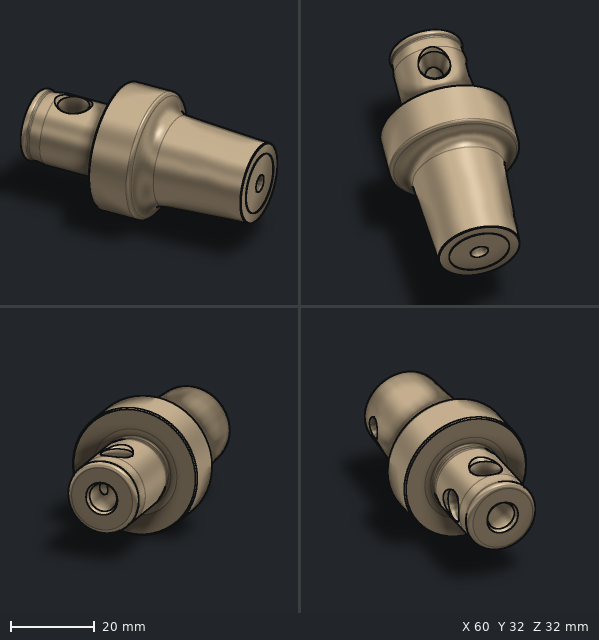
import cadquery as cq
import math

TOTAL_LENGTH = 60.0
INSERT_PROTRUSION = 0.2
HOLDER_LENGTH = TOTAL_LENGTH - INSERT_PROTRUSION

SHANK_RADIUS = 9.0
BEAD_RADIUS = 1.2
BEAD_END_ANGLE = 30.0
BEAD_FLANK_END = 2.1
NECK_START = 2.45
NECK_RADIUS = 8.6
SHANK_START = 5.5
SHANK_END = 19.45

UNDERCUT_FLOOR_RADIUS = 8.65
RUN_IN_ANGLE = 15.0
UNDERCUT_RADIUS = 0.6
RELIEF_ANGLE = 8.0
RELIEF_RADIUS = 10.8

COLLAR_DIAMETER = 32.0
COLLAR_RADIUS = COLLAR_DIAMETER / 2
COLLAR_START = 21.95
COLLAR_END = 32.95
COLLAR_CHAMFER = 0.35
COLLAR_ROUND = 0.9

NOSE_START = 37.0
NOSE_START_RADIUS = 11.35
NOSE_END_RADIUS = 10.0
NOSE_CHAMFER = 0.2

BORE_RADIUS = 3.5
BORE_DEPTH = 18.0
BORE_MOUTH_DIAMETER = 8.1
BORE_MOUTH_RADIUS = BORE_MOUTH_DIAMETER / 2
BORE_MOUTH_HALF_ANGLE = 30.0
DRILL_TIP_HALF_ANGLE = 59.0
THROUGH_RADIUS = 2.15

CROSS_HOLE_X = 10.2
CROSS_HOLE_RADIUS = 3.85
CROSS_HOLE_HALF_ANGLE = 16.0
COUNTERSINK_HEIGHT = 1.8

INSERT_RADIUS = 7.4
INSERT_LENGTH = 12.0
SIDE_HOLE_X = 53.6
SIDE_HOLE_RADIUS = 2.7


def holder_outline():
    """Half section of the holder's outside, closed along the X axis."""
    bead_center = (BEAD_RADIUS, SHANK_RADIUS - BEAD_RADIUS)
    bead_diagonal = BEAD_RADIUS * math.sqrt(0.5)
    bead_angle = math.radians(BEAD_END_ANGLE)
    bead_end = (
        bead_center[0] + BEAD_RADIUS * math.sin(bead_angle),
        bead_center[1] + BEAD_RADIUS * math.cos(bead_angle),
    )
    bead_flank_end = (
        BEAD_FLANK_END,
        bead_end[1] - (BEAD_FLANK_END - bead_end[0]) * math.tan(bead_angle),
    )

    run_in = math.radians(RUN_IN_ANGLE)
    run_in_foot = SHANK_END + (SHANK_RADIUS - UNDERCUT_FLOOR_RADIUS) / math.tan(run_in)
    run_in_tangent = UNDERCUT_RADIUS * math.tan(run_in / 2)
    run_in_arc_start = (
        run_in_foot - run_in_tangent * math.cos(run_in),
        UNDERCUT_FLOOR_RADIUS + run_in_tangent * math.sin(run_in),
    )
    run_in_arc_end = (run_in_foot + run_in_tangent, UNDERCUT_FLOOR_RADIUS)

    relief = math.radians(RELIEF_ANGLE)
    relief_inner_radius = UNDERCUT_FLOOR_RADIUS + UNDERCUT_RADIUS * (1 - math.sin(relief))
    relief_depth = (RELIEF_RADIUS - relief_inner_radius) * math.tan(relief)
    relief_arc_end = (COLLAR_START + relief_depth, relief_inner_radius)
    relief_arc_start = (relief_arc_end[0] - UNDERCUT_RADIUS * math.cos(relief), UNDERCUT_FLOOR_RADIUS)

    round_center = (COLLAR_END - COLLAR_ROUND, COLLAR_RADIUS - COLLAR_ROUND)
    round_diagonal = COLLAR_ROUND * math.sqrt(0.5)

    return (
        cq.Workplane("XZ")
        .moveTo(0, 0)
        .lineTo(HOLDER_LENGTH, 0)
        .lineTo(HOLDER_LENGTH, NOSE_END_RADIUS - NOSE_CHAMFER)
        .lineTo(HOLDER_LENGTH - NOSE_CHAMFER, NOSE_END_RADIUS)
        .lineTo(NOSE_START, NOSE_START_RADIUS)
        .tangentArcPoint((COLLAR_END, round_center[1]), relative=False)
        .threePointArc(
            (round_center[0] + round_diagonal, round_center[1] + round_diagonal),
            (round_center[0], COLLAR_RADIUS),
        )
        .lineTo(COLLAR_START + COLLAR_CHAMFER, COLLAR_RADIUS)
        .lineTo(COLLAR_START, COLLAR_RADIUS - COLLAR_CHAMFER)
        .lineTo(COLLAR_START, RELIEF_RADIUS)
        .lineTo(*relief_arc_end)
        .tangentArcPoint(relief_arc_start, relative=False)
        .lineTo(*run_in_arc_end)
        .tangentArcPoint(run_in_arc_start, relative=False)
        .lineTo(SHANK_END, SHANK_RADIUS)
        .lineTo(SHANK_START, SHANK_RADIUS)
        .lineTo(NECK_START, NECK_RADIUS)
        .tangentArcPoint(bead_flank_end, relative=False)
        .lineTo(*bead_end)
        .threePointArc(
            (bead_center[0] - bead_diagonal, bead_center[1] + bead_diagonal),
            (0, bead_center[1]),
        )
        .close()
    )


def revolve_about_x(outline):
    return outline.revolve(360, (0, 0, 0), (1, 0, 0))


def stepped_bore():
    """Conical mouth, bore with a drill-tip bottom, and a smaller hole right through."""
    mouth_depth = (BORE_MOUTH_RADIUS - BORE_RADIUS) / math.tan(math.radians(BORE_MOUTH_HALF_ANGLE))
    tip_length = (BORE_RADIUS - THROUGH_RADIUS) / math.tan(math.radians(DRILL_TIP_HALF_ANGLE))
    return revolve_about_x(
        cq.Workplane("XZ")
        .lineTo(0, BORE_MOUTH_RADIUS)
        .lineTo(mouth_depth, BORE_RADIUS)
        .lineTo(BORE_DEPTH, BORE_RADIUS)
        .lineTo(BORE_DEPTH + tip_length, THROUGH_RADIUS)
        .lineTo(TOTAL_LENGTH, THROUGH_RADIUS)
        .lineTo(TOTAL_LENGTH, 0)
        .close()
    )


def cross_hole():
    """Countersunk conical hole from the +Z side of the shank down to the bore axis."""
    rim_height = math.sqrt(SHANK_RADIUS**2 - CROSS_HOLE_RADIUS**2)
    axis_radius = CROSS_HOLE_RADIUS - rim_height * math.tan(math.radians(CROSS_HOLE_HALF_ANGLE))
    return (
        cq.Workplane("XZ")
        .lineTo(axis_radius, 0)
        .lineTo(CROSS_HOLE_RADIUS, rim_height)
        .lineTo(CROSS_HOLE_RADIUS + COUNTERSINK_HEIGHT, rim_height + COUNTERSINK_HEIGHT)
        .lineTo(0, rim_height + COUNTERSINK_HEIGHT)
        .close()
        .revolve(360, (0, 0, 0), (0, 1, 0))
        .translate((CROSS_HOLE_X, 0, 0))
    )


def insert_envelope():
    """Solid cylinder that the insert fills at the +X end."""
    return (
        cq.Workplane("YZ")
        .workplane(offset=TOTAL_LENGTH - INSERT_LENGTH)
        .circle(INSERT_RADIUS)
        .extrude(INSERT_LENGTH)
    )


def side_hole():
    """Radial hole from the +Y side of the nose to the axis, where it meets the insert pocket."""
    return (
        cq.Workplane("XZ")
        .center(SIDE_HOLE_X, 0)
        .circle(SIDE_HOLE_RADIUS)
        .extrude(-NOSE_START_RADIUS)
    )


def make_holder():
    holder = revolve_about_x(holder_outline())
    holder = holder.cut(stepped_bore()).cut(insert_envelope()).cut(side_hole())
    for angle in (0, -90):
        holder = holder.cut(cross_hole().rotate((0, 0, 0), (1, 0, 0), angle))
    return holder


def make_insert():
    return insert_envelope().cut(stepped_bore())


holder = make_holder()
insert = make_insert()

result = cq.Compound.makeCompound([holder.val(), insert.val()])